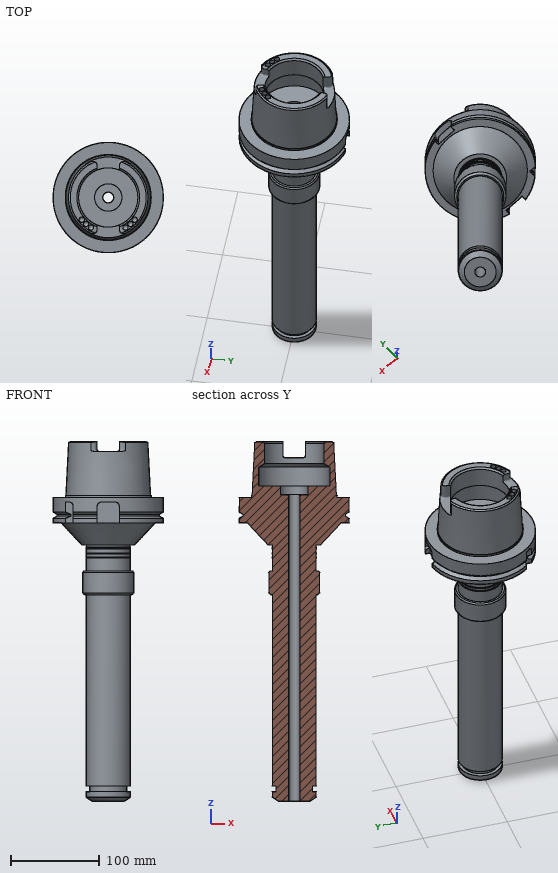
import cadquery as cq
import math

TAPER_HEIGHT = 63.0
SHANK_LENGTH = 344.0

TAPER_SLOPE = 1 / 20
TAPER_BASE_RADIUS = 48.1
TAPER_TOP_RADIUS = TAPER_BASE_RADIUS - TAPER_HEIGHT * TAPER_SLOPE
RIM_CHAMFER_WIDTH = 2.0
RIM_CHAMFER_HEIGHT = 1.2
BEAD_RADIUS = 48.7
BEAD_HEIGHT = 2.2

LIP_RADIUS = 67.0 / 2
LIP_DEPTH = 25.0
LIP_CHAMFER = 2.0
CHAMBER_RADIUS = 40.0
CHAMBER_DEPTH = 50.0
CHAMBER_TAPER_HEIGHT = 4.0
COUNTERBORE_RADIUS = 31.0 / 2
COUNTERBORE_DEPTH = 10.0
THROUGH_RADIUS = 12.0 / 2

RIM_SLOT_WIDTH = 25.0
RIM_SLOT_MOUTH_RADIUS = 5.0
RIM_SLOT_FLOOR_FILLET = 2.0
FRONT_SLOT_DEPTH = 11.0
BACK_SLOT_DEPTH = 18.0

BALANCE_HOLE_RADIUS = 6.0 / 2
BALANCE_HOLE_DEPTH = 10.0
DRILL_POINT_ANGLE = 118.0
BALANCE_CIRCLE_RADIUS = 39.0
BALANCE_HOLE_ANGLES = (30.0, 40.0, 50.0)

FLANGE_RADIUS = 125.0 / 2
FLANGE_BOTTOM = -29.0
V_GROOVE_CENTRE = -20.3
V_GROOVE_DEPTH = 4.5
V_GROOVE_FLOOR_HEIGHT = 2.0
V_GROOVE_HALF_ANGLE = 30.0

FLANGE_CUT_TOP = -5.3
FLANGE_CUT_FILLET = 5.0
KEYWAY_WIDTH = 25.0
KEYWAY_FLOOR = 55.5
CORNER_NOTCH_OFFSET = 39.6

CONE_TOP_RADIUS = 53.3
CONE_BOTTOM_RADIUS = 29.8
CONE_BOTTOM = -54.0
ARBOR_RADIUS = 50.0 / 2
NECK_GROOVE_DEPTH = 0.25
NECK_GROOVES = ((-54.0, 2.0), (-57.2, 1.4), (-63.0, 1.4), (-67.3, 1.4))
COLLAR_RADIUS = 58.0 / 2
COLLAR_TOP = -83.2
COLLAR_BOTTOM = -110.5
COLLAR_CHAMFER = 1.6
COLLAR_BOTTOM_CHAMFER = 2.4

END_GROOVE_RADIUS = 42.0 / 2
END_GROOVE_BOTTOM = 11.1 - SHANK_LENGTH
END_GROOVE_HEIGHT = 6.1
NOSE_HEIGHT = 4.2
NOSE_EDGE_WIDTH = 0.6
NOSE_EDGE_HEIGHT = 1.1
NOSE_RADIUS = 18.0

CLEARANCE = 5.0


def ring(outer_radius, inner_radius, bottom, height):
    return (
        cq.Workplane("XY")
        .workplane(offset=bottom)
        .circle(outer_radius)
        .circle(inner_radius)
        .extrude(height)
    )


def revolve_profile(points):
    """Revolve an outline of (radius, z) points about the Z axis."""
    return cq.Workplane("XZ").polyline(points).close().revolve(360, (0, 0, 0), (0, 1, 0))


def taper_body():
    """Solid taper standing on a low bead, with a chamfered rim."""
    return revolve_profile([
        (0, 0),
        (BEAD_RADIUS, 0),
        (BEAD_RADIUS, BEAD_HEIGHT),
        (TAPER_BASE_RADIUS - BEAD_HEIGHT * TAPER_SLOPE, BEAD_HEIGHT),
        (TAPER_TOP_RADIUS, TAPER_HEIGHT - RIM_CHAMFER_HEIGHT),
        (TAPER_TOP_RADIUS - RIM_CHAMFER_WIDTH, TAPER_HEIGHT),
        (0, TAPER_HEIGHT),
    ])


def flange_and_cone():
    """Flange with a V groove round its edge, and the cone below it."""
    floor_radius = FLANGE_RADIUS - V_GROOVE_DEPTH
    half_floor = V_GROOVE_FLOOR_HEIGHT / 2
    half_mouth = half_floor + V_GROOVE_DEPTH * math.tan(math.radians(V_GROOVE_HALF_ANGLE))
    return revolve_profile([
        (0, 0),
        (FLANGE_RADIUS, 0),
        (FLANGE_RADIUS, V_GROOVE_CENTRE + half_mouth),
        (floor_radius, V_GROOVE_CENTRE + half_floor),
        (floor_radius, V_GROOVE_CENTRE - half_floor),
        (FLANGE_RADIUS, V_GROOVE_CENTRE - half_mouth),
        (FLANGE_RADIUS, FLANGE_BOTTOM),
        (CONE_TOP_RADIUS, FLANGE_BOTTOM),
        (CONE_BOTTOM_RADIUS, CONE_BOTTOM),
        (0, CONE_BOTTOM),
    ])


def arbor():
    """Neck, collar and long plain shank, ending in a grooved nose."""
    nose_top = NOSE_HEIGHT - SHANK_LENGTH
    body = revolve_profile([
        (0, CONE_BOTTOM),
        (ARBOR_RADIUS, CONE_BOTTOM),
        (ARBOR_RADIUS, COLLAR_TOP),
        (COLLAR_RADIUS - COLLAR_CHAMFER, COLLAR_TOP),
        (COLLAR_RADIUS, COLLAR_TOP - COLLAR_CHAMFER),
        (COLLAR_RADIUS, COLLAR_BOTTOM + COLLAR_BOTTOM_CHAMFER),
        (COLLAR_RADIUS - COLLAR_BOTTOM_CHAMFER, COLLAR_BOTTOM),
        (ARBOR_RADIUS, COLLAR_BOTTOM),
        (ARBOR_RADIUS, nose_top + NOSE_EDGE_HEIGHT),
        (ARBOR_RADIUS - NOSE_EDGE_WIDTH, nose_top),
        (NOSE_RADIUS, -SHANK_LENGTH),
        (0, -SHANK_LENGTH),
    ])
    cut_radius = COLLAR_RADIUS + CLEARANCE
    for top, height in NECK_GROOVES:
        body = body.cut(ring(cut_radius, ARBOR_RADIUS - NECK_GROOVE_DEPTH, top - height, height))
    return body.cut(ring(cut_radius, END_GROOVE_RADIUS, END_GROOVE_BOTTOM, END_GROOVE_HEIGHT))


def stepped_bore():
    """Chamfered lip, wider chamber, counterbore and through hole, as one cutting shape."""
    lip_bottom = TAPER_HEIGHT - LIP_DEPTH
    chamber_bottom = TAPER_HEIGHT - CHAMBER_DEPTH
    counterbore_bottom = chamber_bottom - COUNTERBORE_DEPTH
    return revolve_profile([
        (0, TAPER_HEIGHT),
        (LIP_RADIUS + LIP_CHAMFER, TAPER_HEIGHT),
        (LIP_RADIUS, TAPER_HEIGHT - LIP_CHAMFER),
        (LIP_RADIUS, lip_bottom),
        (CHAMBER_RADIUS, lip_bottom - CHAMBER_TAPER_HEIGHT),
        (CHAMBER_RADIUS, chamber_bottom),
        (COUNTERBORE_RADIUS, chamber_bottom),
        (COUNTERBORE_RADIUS, counterbore_bottom),
        (THROUGH_RADIUS, counterbore_bottom),
        (THROUGH_RADIUS, -SHANK_LENGTH),
        (0, -SHANK_LENGTH),
    ])


def rim_slot(depth):
    """Slot through the -Y side of the rim, its side walls rounded into the outside of the taper."""
    half_width = RIM_SLOT_WIDTH / 2
    fillet = RIM_SLOT_MOUTH_RADIUS
    centre_x = half_width + fillet
    centre_radius = TAPER_TOP_RADIUS - fillet
    centre_y = -math.sqrt(centre_radius**2 - centre_x**2)
    tangent_x = centre_x * TAPER_TOP_RADIUS / centre_radius
    tangent_y = centre_y * TAPER_TOP_RADIUS / centre_radius
    tangent_angle = 2 * math.pi + math.atan2(centre_y, centre_x)
    middle_angle = (math.pi + tangent_angle) / 2
    middle_x = centre_x + fillet * math.cos(middle_angle)
    middle_y = centre_y + fillet * math.sin(middle_angle)
    inside_y = -LIP_RADIUS / 2
    outside_y = -TAPER_BASE_RADIUS - CLEARANCE
    return (
        cq.Workplane("XY")
        .workplane(offset=TAPER_HEIGHT - depth)
        .moveTo(-half_width, inside_y)
        .lineTo(half_width, inside_y)
        .lineTo(half_width, centre_y)
        .threePointArc((middle_x, middle_y), (tangent_x, tangent_y))
        .lineTo(tangent_x, outside_y)
        .lineTo(-tangent_x, outside_y)
        .lineTo(-tangent_x, tangent_y)
        .threePointArc((-middle_x, middle_y), (-half_width, centre_y))
        .close()
        .extrude(depth + CLEARANCE)
        .faces("<Z")
        .edges()
        .fillet(RIM_SLOT_FLOOR_FILLET)
    )


def balance_holes():
    """Blind drilled holes with pointed ends, in two mirrored rows along the rim."""
    points = []
    for angle in BALANCE_HOLE_ANGLES:
        x = BALANCE_CIRCLE_RADIUS * math.sin(math.radians(angle))
        y = -BALANCE_CIRCLE_RADIUS * math.cos(math.radians(angle))
        points += [(x, y), (-x, y)]
    tip_height = BALANCE_HOLE_RADIUS / math.tan(math.radians(DRILL_POINT_ANGLE / 2))
    drill = revolve_profile([
        (0, TAPER_HEIGHT),
        (BALANCE_HOLE_RADIUS, TAPER_HEIGHT),
        (BALANCE_HOLE_RADIUS, TAPER_HEIGHT - BALANCE_HOLE_DEPTH),
        (0, TAPER_HEIGHT - BALANCE_HOLE_DEPTH - tip_height),
    ])
    holes = cq.Workplane("XY")
    for x, y in points:
        holes = holes.add(drill.translate((x, y, 0)))
    return holes.combine()


def flange_cut(width, floor_y):
    """Block below FLANGE_CUT_TOP, outside floor_y on the -Y side, with rounded top corners."""
    height = FLANGE_CUT_TOP - FLANGE_BOTTOM
    length = FLANGE_RADIUS - floor_y
    return (
        cq.Workplane("XY")
        .box(width, length, height, centered=(True, False, False))
        .edges("|Y and >Z")
        .fillet(FLANGE_CUT_FILLET)
        .translate((0, -FLANGE_RADIUS, FLANGE_BOTTOM))
    )


def corner_notch():
    """Open corner notch on the (-X, -Y) side of the flange, with one rounded top edge."""
    width = 2 * (FLANGE_RADIUS - CORNER_NOTCH_OFFSET)
    return flange_cut(width, CORNER_NOTCH_OFFSET).translate((-FLANGE_RADIUS, 0, 0))


def half_turn(shape):
    return shape.rotate((0, 0, 0), (0, 0, 1), 180)


keyway = flange_cut(KEYWAY_WIDTH, KEYWAY_FLOOR)
flange = flange_and_cone().cut(keyway).cut(half_turn(keyway)).cut(corner_notch())
result = taper_body().union(flange).union(arbor()).cut(stepped_bore())
result = result.cut(rim_slot(FRONT_SLOT_DEPTH)).cut(half_turn(rim_slot(BACK_SLOT_DEPTH)))
result = result.cut(balance_holes())